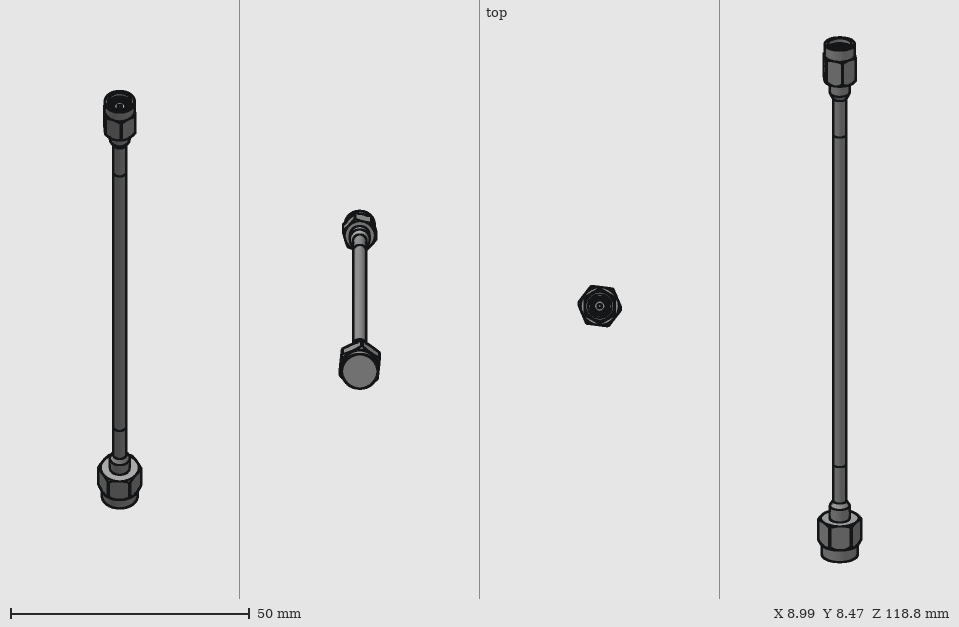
import cadquery as cq
import math

total_length = 118.85
cable_diameter = 2.8
boot_diameter = cable_diameter
boot_length = 8.45

coupling_sleeve_length = 2.85
nut_length = 5.65
plug_barrel_length = 2.9
plug_taper_length = 1.15

jack_thread_length = 2.75
jack_hex_length = 5.8
jack_barrel_length = 2.85
jack_taper_length = 1.35

nut_bottom = coupling_sleeve_length
nut_top = nut_bottom + nut_length
plug_barrel_top = nut_top + plug_barrel_length
plug_top = plug_barrel_top + plug_taper_length
lower_boot_top = plug_top + boot_length
jack_hex_top = total_length - jack_thread_length
jack_hex_bottom = jack_hex_top - jack_hex_length
jack_barrel_bottom = jack_hex_bottom - jack_barrel_length
jack_bottom = jack_barrel_bottom - jack_taper_length
upper_boot_bottom = jack_bottom - boot_length

barrel_diameter = 4.2
barrel_tip_diameter = boot_diameter

nut_flat_width = 8.0
nut_corner_diameter = 9.022
nut_turn = -7.35
coupling_sleeve_diameter = 7.6
coupling_sleeve_chamfer = 0.1

jack_hex_flat_width = 6.35
jack_hex_corner_diameter = 7.2
jack_hex_turn = 30.0
jack_thread_diameter = 6.35
jack_thread_chamfer = 0.15
socket_diameter = 4.9
socket_depth = 1.1
insulator_recess_diameter = 3.9
insulator_recess_depth = 0.4
contact_bore_diameter = 3.1
contact_length = 2.6
contact_diameter = 2.4
contact_hole_diameter = 0.9

half_hex_sector = math.radians(360 / 12)

upper_chamfer_angle = 30.0
lower_chamfer_angle = 55.0


def disc(diameter, bottom, top):
    return cq.Workplane("XY").workplane(offset=bottom).circle(diameter / 2).extrude(top - bottom)


def cone(bottom_diameter, top_diameter, bottom, top):
    return (
        cq.Workplane("XY")
        .workplane(offset=bottom)
        .circle(bottom_diameter / 2)
        .workplane(offset=top - bottom)
        .circle(top_diameter / 2)
        .loft(combine=True)
    )


def chamfered_hex(flat_width, corner_diameter, bottom, top, turn):
    """Hexagonal prism with its corners turned round and chamfered at both ends."""
    height = top - bottom
    flat_radius = flat_width / 2
    corner_radius = corner_diameter / 2
    corner_overhang = corner_radius - flat_radius
    lower_chamfer = corner_overhang * math.tan(math.radians(lower_chamfer_angle))
    upper_chamfer = corner_overhang * math.tan(math.radians(upper_chamfer_angle))
    sharp_corner_diameter = flat_width / math.cos(half_hex_sector)
    prism = cq.Workplane("XY").polygon(6, sharp_corner_diameter).extrude(height)
    turned_envelope = (
        cq.Workplane("XZ")
        .polyline([
            (0, 0),
            (flat_radius, 0),
            (corner_radius, lower_chamfer),
            (corner_radius, height - upper_chamfer),
            (flat_radius, height),
            (0, height),
        ])
        .close()
        .revolve(360, (0, 0, 0), (0, 1, 0))
    )
    return prism.intersect(turned_envelope).rotate((0, 0, 0), (0, 0, 1), turn).translate((0, 0, bottom))


def make_plug():
    coupling_sleeve = disc(coupling_sleeve_diameter, 0, nut_bottom)
    coupling_sleeve = coupling_sleeve.faces("<Z").chamfer(coupling_sleeve_chamfer)
    nut = chamfered_hex(nut_flat_width, nut_corner_diameter, nut_bottom, nut_top, nut_turn)
    barrel = disc(barrel_diameter, nut_top, plug_barrel_top)
    taper = cone(barrel_diameter, barrel_tip_diameter, plug_barrel_top, plug_top)
    return coupling_sleeve.union(nut).union(barrel).union(taper)


def make_jack():
    taper = cone(barrel_tip_diameter, barrel_diameter, jack_bottom, jack_barrel_bottom)
    barrel = disc(barrel_diameter, jack_barrel_bottom, jack_hex_bottom)
    hexagon = chamfered_hex(
        jack_hex_flat_width, jack_hex_corner_diameter, jack_hex_bottom, jack_hex_top, jack_hex_turn
    )
    thread = disc(jack_thread_diameter, jack_hex_top, total_length)
    thread = thread.faces(">Z").chamfer(jack_thread_chamfer)
    body = taper.union(barrel).union(hexagon).union(thread)

    socket_floor = total_length - socket_depth
    contact_top = socket_floor - insulator_recess_depth
    contact_bottom = contact_top - contact_length
    socket = disc(socket_diameter, socket_floor, total_length)
    insulator_recess = disc(insulator_recess_diameter, contact_top, socket_floor)
    contact_bore = disc(contact_bore_diameter, contact_bottom, contact_top)
    contact = disc(contact_diameter, contact_bottom, contact_top)
    contact_hole = disc(contact_hole_diameter, contact_bottom, contact_top)
    hollow = socket.union(insulator_recess).union(contact_bore.cut(contact)).union(contact_hole)
    return body.cut(hollow)


def make_boot(bottom):
    return disc(boot_diameter, bottom, bottom + boot_length)


plug = make_plug()
boots = [make_boot(bottom) for bottom in (plug_top, upper_boot_bottom)]
cable = disc(cable_diameter, lower_boot_top, upper_boot_bottom)
jack = make_jack()
result = cq.Compound.makeCompound([
    plug.val(),
    *[boot.val() for boot in boots],
    cable.val(),
    jack.val(),
])